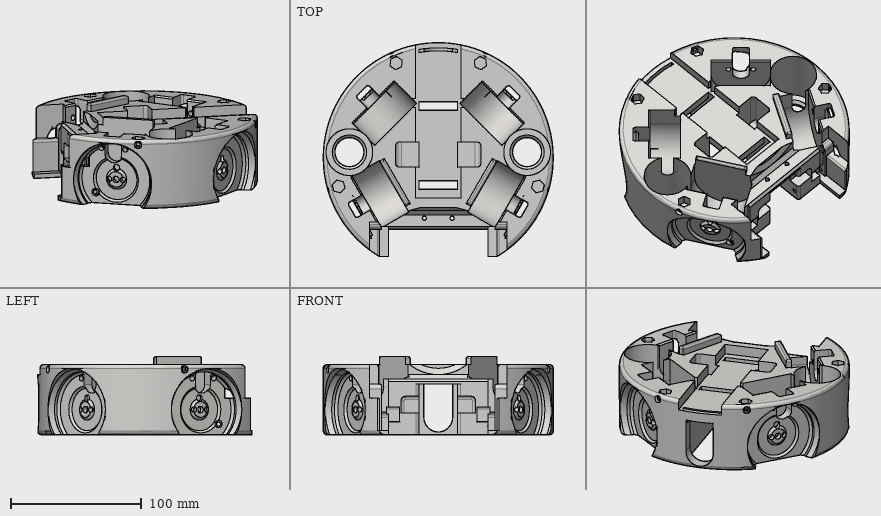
import cadquery as cq
import math

BODY_RADIUS = 88.0
DECK_Z = 53.8
FRONT_Y = -75.6
RIM_FILLET = 3.0
ABOVE = 70.4
BIG = 211.0
OVERLAP = 1.8

BAR_FRONT_Y = -54.7
ARM_INNER_X = 44.8
ARM_STEP_X = 52.5
ARM_STEP_Z = 28.1
ARM_LEDGE_Y = -49.2
ARM_LEDGE_Z = 38.7
ARM_EDGE_FILLET = 1.5
LEDGE_FILLET = 3.5
FOOT_INNER_X = 38.0
FOOT_HEIGHT = 3.5
ARM_FRONT_Y = -74.7

BAR_Z = 42.7
BAR_HALF_WIDTH = 43.3
BAR_BACK_Y = -40.5
BAR_RAMP = 3.3
BAR_CHAMFER = 2.0
BAR_HOLE_X = 10.5
BAR_HOLE_Y = -46.3
BAR_HOLE_DIA = 3.0
SCOOP_RADIUS = 35.2
SCOOP_BACK_RADIUS = 30.5
SCOOP_BACK_Y = -38.0

CABLE_OUTER_X = 28.5
CABLE_BACK_Y = -45.7
CABLE_Z = (16.9, 29.5)
CABLE_CORNER = 3.5
CABLE_BACK_FILLET = 2.5
LATCH_X = (29.5, 39.5)
LATCH_Z = (10.0, 21.1)
LATCH_BACK_Y = -49.2
LATCH_FILLET = 1.2
COLUMN_BACK_Y = -52.8
SOCKET_BACK_Y = -48.4
SOCKET_TOP_Z = 17.6
SOCKET_FILLET = 4.2

CHANNEL_HALF_WIDTH = 14.6
CHANNEL_TOP_Z = 38.7
CHANNEL_BACK_Y = 77.4
CHANNEL_MOUTH_FILLET = 2.3
WINDOW_RADIUS = 10.9
WINDOW_BOTTOM_Z = 2.3
GROOVE_HALF_WIDTH = 17.2
GROOVE_FRONT_Y = -31.0
GROOVE_Z = 46.0
SLOT_LENGTH = 6.3
SLOT_START_Y = (-24.1, 36.2)
NOTCH_OUTER_X = 19.5
NOTCH_Y = (38.5, 45.0)
ARC_SLOT_RADIUS = 82.8
ARC_SLOT_WIDTH = 2.3
ARC_SLOT_HALF_LENGTH = 14.8
ARC_SLOT_FLOOR_Z = 35.2

POCKET_OUTER_X = 32.5
POCKET_Y = (-7.2, 12.0)
POCKET_FLOOR_Z = 21.1
POCKET_CORNER = 2.8
POCKET_FLOOR_FILLET = 4.5

BORE_X = 67.9
BORE_Y = 4.2
BORE_DIA = 35.7
BORE_HOLE_DIA = 22.0
BORE_FLOOR_Z = 4.0
BORE_CHAMFER = 2.1

NUT_CENTRES = ((32.2, 72.3), (76.2, -22.0))
NUT_FLATS = 8.8
NUT_DEPTH = 8.1
NUT_TURN = 30.0
SCREW_Z = 50.1
SCREW_DIA = 3.0
SCREW_HEAD_DIA = 5.5
SCREW_HEAD_DEPTH = 2.6

FRONT_ANGLE = -30.0
REAR_ANGLE = 45.0
FRONT_MOTOR_OFFSET = -2.1
REAR_MOTOR_OFFSET = -5.1
MOTOR_RADIUS = 22.7
MOTOR_Z = 36.4
REAR_MOTOR_INNER = 41.0
FRONT_MOTOR_INNER = 40.3
MOTOR_OUTER = 64.2
MOTOR_CHAMFER = 1.2
GEARBOX_RADIUS = 6.5
GEARBOX_Z = 38.3
GEARBOX_OUTER = 77.4
GEARBOX_CORNER = 2.0
MOTOR_SCREW_DIA = 4.0
MOTOR_SCREW_PITCH = 19.0
MOTOR_SCREW_Z = 43.3
FRONT_TERMINAL = (5.6, 8.1)
REAR_TERMINAL = (2.8, 7.7)
TERMINAL_LENGTH = 6.0
TERMINAL_FLOOR_Z = 17.6

WHEEL_Z = 19.3
WELL_FACE = 73.0
WELL_FACE_RADIUS = 26.9
WELL_RADIUS = 28.8
WELL_LIP_START = 77.4
WELL_LIP_BEND = 81.8
WELL_LIP_BEND_RADIUS = 31.0
WELL_LIP_RADIUS = 31.7
GEAR_DIA = 35.7
GEAR_FLOOR_DIA = 32.4
GEAR_DEPTH = 2.0
HUB_TOP_DIA = 12.0
HUB_BASE_DIA = 16.2
AXLE_DIA = 5.0
HUB_SCREW_DIA = 4.0
HUB_SCREW_OFFSET = 5.5
GEAR_SCREW_OFFSET = 8.8
WHEEL_HOLE_DEPTH = 4.2

CROSS_HOLE_Y = -50.3
CROSS_HOLE_Z = 8.3
CROSS_HEAD_START_X = 53.6
CROSS_HEAD_END_X = 70.4

PLATE_TOP_Z = 60.0
PLATE_INNER = 36.0
PLATE_OUTER = 41.0
PLATE_SIDES = (-19.7, 20.0)
PLATE_FILLET = 1.5


def block(x, y, z):
    """Box given by its (low, high) limits along each axis."""
    size = (x[1] - x[0], y[1] - y[0], z[1] - z[0])
    return cq.Workplane("XY").box(*size, centered=False).translate((x[0], y[0], z[0]))


def rod(dia, start, end, y=0.0, z=0.0):
    """Cylinder along X from start to end."""
    return cq.Workplane("YZ", origin=(start, y, z)).circle(dia / 2).extrude(end - start)


def both_sides(shape):
    return shape.union(shape.mirror("YZ"))


def aim(shape, angle):
    """Turn a shape built along +X to the given direction about Z."""
    return shape.rotate((0, 0, 0), (0, 0, 1), angle)


def make_body():
    disc = cq.Workplane("XY").circle(BODY_RADIUS).extrude(DECK_Z).edges().fillet(RIM_FILLET)
    return disc.intersect(block((-BIG, BIG), (FRONT_Y, BIG), (0, ABOVE)))


def make_front_opening():
    gap = block((-ARM_INNER_X, ARM_INNER_X), (-BIG, BAR_FRONT_Y), (FOOT_HEIGHT, ABOVE))
    gap = gap.union(block((-BIG, BIG), (-BIG, ARM_FRONT_Y), (FOOT_HEIGHT, ABOVE)))
    gap = gap.union(block((-FOOT_INNER_X, FOOT_INNER_X), (-BIG, BAR_FRONT_Y), (-OVERLAP, ABOVE)))
    step = block((-ARM_STEP_X, ARM_STEP_X), (-BIG, BAR_FRONT_Y), (ARM_STEP_Z, ABOVE))
    ledge = block((BAR_HALF_WIDTH, ARM_STEP_X), (-BIG, ARM_LEDGE_Y), (ARM_LEDGE_Z, ABOVE))
    ledge = both_sides(ledge)

    nose = block((BAR_HALF_WIDTH, ARM_STEP_X),
                 (BAR_FRONT_Y, BAR_FRONT_Y + LEDGE_FILLET),
                 (ARM_LEDGE_Z - LEDGE_FILLET, ARM_LEDGE_Z))
    nose = nose.cut(rod(2 * LEDGE_FILLET, 0, BIG, BAR_FRONT_Y + LEDGE_FILLET, ARM_LEDGE_Z - LEDGE_FILLET))
    arm_edge = block((ARM_INNER_X, ARM_INNER_X + ARM_EDGE_FILLET), (-BIG, BAR_FRONT_Y),
                     (ARM_STEP_Z - ARM_EDGE_FILLET, ARM_STEP_Z))
    arm_round = (cq.Workplane("XZ")
                 .center(ARM_INNER_X + ARM_EDGE_FILLET, ARM_STEP_Z - ARM_EDGE_FILLET)
                 .circle(ARM_EDGE_FILLET).extrude(BIG))
    return gap.union(step).union(ledge).union(both_sides(nose)).union(both_sides(arm_edge.cut(arm_round)))


def make_bar_cut():
    profile = [
        (BAR_BACK_Y, ABOVE),
        (BAR_BACK_Y, BAR_Z + BAR_RAMP),
        (BAR_BACK_Y - BAR_RAMP, BAR_Z),
        (BAR_FRONT_Y + BAR_CHAMFER, BAR_Z),
        (BAR_FRONT_Y, BAR_Z - BAR_CHAMFER),
        (BAR_FRONT_Y, ABOVE),
    ]
    cut = cq.Workplane("YZ").polyline(profile).close().extrude(BAR_HALF_WIDTH, both=True)

    scoop = (cq.Workplane("XZ", origin=(0, SCOOP_BACK_Y, BAR_Z + BAR_RAMP + SCOOP_RADIUS))
             .circle(SCOOP_BACK_RADIUS)
             .workplane(offset=SCOOP_BACK_Y - BAR_BACK_Y)
             .circle(SCOOP_RADIUS).loft())
    holes = (cq.Workplane("XY").pushPoints([(-BAR_HOLE_X, BAR_HOLE_Y), (BAR_HOLE_X, BAR_HOLE_Y)])
             .circle(BAR_HOLE_DIA / 2).extrude(ABOVE))
    return cut.union(scoop).union(holes)


def make_front_recesses():
    """Recesses in the front face, either side of the channel."""
    cable = block((0, CABLE_OUTER_X), (BAR_FRONT_Y, CABLE_BACK_Y), CABLE_Z)
    cable = cable.edges("|Y and >X and >Z").fillet(CABLE_CORNER)
    cable = cable.faces(">Y").edges("not(<Z or <X)").fillet(CABLE_BACK_FILLET)
    latch = block(LATCH_X, (BAR_FRONT_Y, LATCH_BACK_Y), LATCH_Z)
    latch = latch.edges("|X and >Y and >Z").fillet(LATCH_FILLET)
    column_x = (FOOT_INNER_X, BAR_HALF_WIDTH)
    column = block(column_x, (BAR_FRONT_Y, COLUMN_BACK_Y), (FOOT_HEIGHT, BAR_Z))
    socket = block(column_x, (BAR_FRONT_Y, SOCKET_BACK_Y), (FOOT_HEIGHT, SOCKET_TOP_Z))
    socket = socket.edges("|X and >Y and >Z").fillet(SOCKET_FILLET)
    return both_sides(cable.union(latch).union(column).union(socket))


def make_cross_holes():
    """Counterbored holes running along X through the front blocks."""
    hole = rod(SCREW_DIA, 0, CROSS_HEAD_END_X, CROSS_HOLE_Y, CROSS_HOLE_Z)
    head = rod(SCREW_HEAD_DIA, CROSS_HEAD_START_X, CROSS_HEAD_END_X, CROSS_HOLE_Y, CROSS_HOLE_Z)
    return both_sides(hole.union(head))


def make_channel():
    w = CHANNEL_HALF_WIDTH
    channel = block((-w, w), (BAR_FRONT_Y, CHANNEL_BACK_Y), (-OVERLAP, CHANNEL_TOP_Z))
    mouth = block((w, w + CHANNEL_MOUTH_FILLET),
                  (BAR_FRONT_Y, BAR_FRONT_Y + CHANNEL_MOUTH_FILLET), (-OVERLAP, CHANNEL_TOP_Z))
    mouth = mouth.cut(cq.Workplane("XY", origin=(0, 0, -OVERLAP))
                      .center(w + CHANNEL_MOUTH_FILLET, BAR_FRONT_Y + CHANNEL_MOUTH_FILLET)
                      .circle(CHANNEL_MOUTH_FILLET).extrude(ABOVE))
    straight_z = WINDOW_BOTTOM_Z + WINDOW_RADIUS
    window = block((-WINDOW_RADIUS, WINDOW_RADIUS), (0, BIG), (straight_z, CHANNEL_TOP_Z))
    window = window.union(cq.Workplane("XZ").center(0, straight_z).circle(WINDOW_RADIUS).extrude(-BIG))
    return channel.union(both_sides(mouth)).union(window)


def make_groove():
    groove = block((-GROOVE_HALF_WIDTH, GROOVE_HALF_WIDTH), (GROOVE_FRONT_Y, BIG), (GROOVE_Z, ABOVE))
    notch = block((0, NOTCH_OUTER_X), NOTCH_Y, (GROOVE_Z, ABOVE))
    groove = groove.union(both_sides(notch))
    for start in SLOT_START_Y:
        slot = block((-CHANNEL_HALF_WIDTH, CHANNEL_HALF_WIDTH), (start, start + SLOT_LENGTH),
                     (CHANNEL_TOP_Z - OVERLAP, ABOVE))
        groove = groove.union(slot)
    ring = (cq.Workplane("XY", origin=(0, 0, ARC_SLOT_FLOOR_Z))
            .circle(ARC_SLOT_RADIUS + ARC_SLOT_WIDTH / 2)
            .circle(ARC_SLOT_RADIUS - ARC_SLOT_WIDTH / 2)
            .extrude(ABOVE))
    arc = ring.intersect(block((-ARC_SLOT_HALF_LENGTH, ARC_SLOT_HALF_LENGTH), (0, BIG), (0, BIG)))
    return groove.union(arc)


def make_side_pockets():
    limits = ((CHANNEL_HALF_WIDTH, POCKET_OUTER_X), POCKET_Y, (POCKET_FLOOR_Z, ABOVE))
    plan = block(*limits).edges("|Z and >X").fillet(POCKET_CORNER)
    ramp = block(*limits).edges("|Y and >X and <Z").fillet(POCKET_FLOOR_FILLET)
    pocket = plan.intersect(ramp)
    return both_sides(pocket)


def make_bores():
    chamfer_dia = BORE_HOLE_DIA + 2 * BORE_CHAMFER
    bore = cq.Workplane("XY", origin=(BORE_X, BORE_Y, BORE_FLOOR_Z)).circle(BORE_DIA / 2).extrude(ABOVE)
    hole = cq.Workplane("XY", origin=(BORE_X, BORE_Y, -OVERLAP)).circle(BORE_HOLE_DIA / 2).extrude(ABOVE)
    cone = (cq.Workplane("XY", origin=(BORE_X, BORE_Y, BORE_FLOOR_Z)).circle(chamfer_dia / 2)
            .workplane(offset=-BORE_CHAMFER).circle(BORE_HOLE_DIA / 2).loft())
    return both_sides(bore.union(hole).union(cone))


def make_nut_trap(centre):
    distance = math.hypot(*centre)
    angle = math.degrees(math.atan2(centre[1], centre[0]))
    trap = (cq.Workplane("XY", origin=(distance, 0, DECK_Z - NUT_DEPTH))
            .transformed(rotate=(0, 0, NUT_TURN))
            .polygon(6, NUT_FLATS / math.cos(math.pi / 6)).extrude(ABOVE))
    screw = rod(SCREW_DIA, distance, BIG, 0, SCREW_Z)
    head = rod(SCREW_HEAD_DIA, BODY_RADIUS - SCREW_HEAD_DEPTH, BIG, 0, SCREW_Z)
    return both_sides(aim(trap.union(screw).union(head), angle))


def make_motor_pocket(inner, offset, terminal_y):
    r = MOTOR_RADIUS
    sides = (offset - r, offset + r)
    pocket = rod(2 * r, inner, MOTOR_OUTER, offset, MOTOR_Z)
    pocket = pocket.union(block((inner, MOTOR_OUTER), sides, (MOTOR_Z, ABOVE)))
    chamfer = (cq.Workplane("XZ", origin=(0, sides[1], 0))
               .polyline([(MOTOR_OUTER, DECK_Z - MOTOR_CHAMFER),
                          (MOTOR_OUTER + MOTOR_CHAMFER, DECK_Z),
                          (MOTOR_OUTER, DECK_Z)])
               .close().extrude(2 * r))

    g = GEARBOX_RADIUS
    gearbox = rod(2 * g, MOTOR_OUTER - OVERLAP, GEARBOX_OUTER, offset, GEARBOX_Z)
    slot = block((MOTOR_OUTER - OVERLAP, GEARBOX_OUTER), (offset - g, offset + g), (GEARBOX_Z, ABOVE))
    slot = slot.edges("|Z and >X").fillet(GEARBOX_CORNER)

    terminal = block((MOTOR_OUTER - TERMINAL_LENGTH, MOTOR_OUTER), terminal_y, (TERMINAL_FLOOR_Z, MOTOR_Z))
    pocket = pocket.union(chamfer).union(gearbox).union(slot).union(terminal)
    for side in (-1, 1):
        y = offset + side * MOTOR_SCREW_PITCH / 2
        screw = rod(MOTOR_SCREW_DIA, MOTOR_OUTER - OVERLAP, WELL_FACE + OVERLAP, y, MOTOR_SCREW_Z)
        pocket = pocket.union(screw)
    return pocket


def make_wheel_well():
    gear_floor = WELL_FACE - GEAR_DEPTH
    shoulder = WELL_RADIUS - WELL_FACE_RADIUS
    profile = [
        (WELL_FACE, 0),
        (WELL_FACE, HUB_TOP_DIA / 2),
        (gear_floor, HUB_BASE_DIA / 2),
        (gear_floor, GEAR_FLOOR_DIA / 2),
        (WELL_FACE, GEAR_DIA / 2),
        (WELL_FACE, WELL_FACE_RADIUS),
        (WELL_FACE + shoulder, WELL_RADIUS),
        (WELL_LIP_START, WELL_RADIUS),
        (WELL_LIP_BEND, WELL_LIP_BEND_RADIUS),
        (BODY_RADIUS + OVERLAP, WELL_LIP_RADIUS),
        (BODY_RADIUS + OVERLAP, 0),
    ]
    well = cq.Workplane("XY").polyline(profile).close().revolve(360, (0, 0, 0), (1, 0, 0))
    well = well.translate((0, 0, WHEEL_Z))
    hole_end = WELL_FACE - WHEEL_HOLE_DEPTH
    well = well.union(rod(AXLE_DIA, hole_end, WELL_FACE, 0, WHEEL_Z))
    well = well.union(rod(AXLE_DIA, hole_end, WELL_FACE, 0, WHEEL_Z + GEAR_SCREW_OFFSET))
    for side in (-1, 1):
        well = well.union(rod(HUB_SCREW_DIA, hole_end, WELL_FACE, side * HUB_SCREW_OFFSET, WHEEL_Z))
    return well


def make_plates():
    plate = block((PLATE_INNER, PLATE_OUTER), PLATE_SIDES, (DECK_Z - OVERLAP, PLATE_TOP_Z))
    plate = plate.edges("|X and >Z or (|Y and >Z)").fillet(PLATE_FILLET)
    return both_sides(aim(plate, FRONT_ANGLE))


wheel_well = make_wheel_well()
front_drive = make_motor_pocket(FRONT_MOTOR_INNER, FRONT_MOTOR_OFFSET, FRONT_TERMINAL).union(wheel_well)
rear_drive = make_motor_pocket(REAR_MOTOR_INNER, REAR_MOTOR_OFFSET, REAR_TERMINAL).union(wheel_well)

result = make_body().cut(make_front_opening()).cut(make_bar_cut())
result = result.union(make_plates())
result = result.cut(make_front_recesses())
result = result.cut(make_cross_holes())
result = result.cut(make_channel())
result = result.cut(make_groove())
result = result.cut(make_side_pockets())
result = result.cut(make_bores())
for nut_centre in NUT_CENTRES:
    result = result.cut(make_nut_trap(nut_centre))
result = result.cut(both_sides(aim(front_drive, FRONT_ANGLE)))
result = result.cut(both_sides(aim(rear_drive, REAR_ANGLE)))